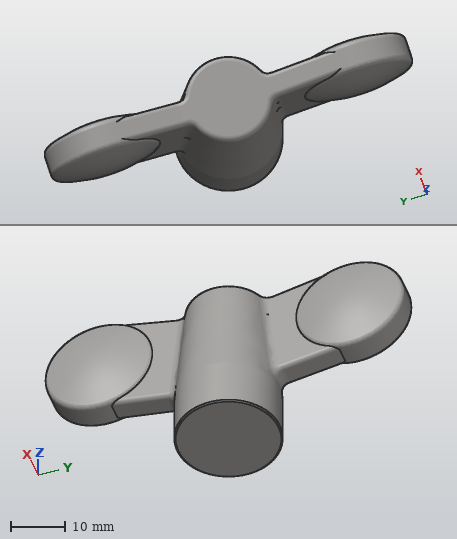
import cadquery as cq
import math

hub_radius = 10.0
hub_top_radius = 8.0
foot_height = 10.0
hub_height = 32.5
foot_chamfer = 0.3

overall_length = 70.0
overall_height = 35.5
disc_radius = 10.6
disc_centre_y = overall_length / 2 - disc_radius
disc_centre_z = overall_height - disc_radius
disc_half_thickness = 4.5
rim_half_thickness = 2.5
rim_round = 1.0

arm_thickness = 4.75
arm_top_slope = math.radians(12.0)
arm_bottom_slope = math.radians(9.3)
arm_root_y = 9.25
arm_root_bottom_z = 12.45
arm_inner_y = 3.5

edge_round = 1.0
root_blend = 1.8
margin = 0.15

arm_tip_y = disc_centre_y - disc_radius * math.sin(arm_top_slope)
arm_tip_z = hub_height + (arm_tip_y - arm_root_y) * math.tan(arm_top_slope)


def edge_box(min_corner, max_corner):
    """Pick the edges lying completely inside a box."""
    return cq.selectors.BoxSelector(min_corner, max_corner, boundingbox=True)


def make_hub():
    return (
        cq.Workplane("XZ")
        .lineTo(hub_radius - foot_chamfer, 0)
        .lineTo(hub_radius, foot_chamfer)
        .lineTo(hub_radius, foot_height)
        .lineTo(hub_top_radius, hub_height)
        .lineTo(0, hub_height)
        .close()
        .revolve(360, (0, 0), (0, 1))
    )


def make_arm():
    """Web on the +Y side with rounded lower edges, from inside the hub to the disc centre."""
    def bottom_z(y):
        return arm_root_bottom_z + (y - arm_root_y) * math.tan(arm_bottom_slope)

    half_width = arm_thickness / 2 + margin
    lower_edges = edge_box(
        (-half_width, arm_inner_y - margin, 0),
        (half_width, disc_centre_y + margin, bottom_z(disc_centre_y) + margin),
    )
    return (
        cq.Workplane("YZ")
        .moveTo(arm_inner_y, bottom_z(arm_inner_y))
        .lineTo(disc_centre_y, bottom_z(disc_centre_y))
        .lineTo(disc_centre_y, disc_centre_z)
        .lineTo(arm_tip_y, arm_tip_z)
        .lineTo(arm_root_y, hub_height)
        .lineTo(arm_inner_y, hub_height)
        .close()
        .extrude(arm_thickness / 2, both=True)
        .edges(lower_edges)
        .edges("#X")
        .fillet(edge_round)
    )


def make_disc():
    """Double-domed disc on the +Y side, its axis parallel to X."""
    rise = disc_half_thickness - rim_half_thickness
    dome_radius = (disc_radius**2 + rise**2) / (2 * rise)
    mid_radius = disc_radius / 2
    mid_x = disc_half_thickness - dome_radius + math.sqrt(dome_radius**2 - mid_radius**2)
    disc = (
        cq.Workplane("XY")
        .moveTo(-disc_half_thickness, 0)
        .threePointArc((-mid_x, mid_radius), (-rim_half_thickness, disc_radius))
        .lineTo(rim_half_thickness, disc_radius)
        .threePointArc((mid_x, mid_radius), (disc_half_thickness, 0))
        .close()
        .revolve(360, (0, 0), (1, 0))
        .faces("%CYLINDER")
        .edges("%CIRCLE")
        .fillet(rim_round)
    )
    return disc.translate((0, disc_centre_y, disc_centre_z))


def blend_arm_roots(body):
    """Round the inside corner where each arm meets the tapered hub."""
    half_width = arm_thickness / 2 + margin
    inner_y = hub_top_radius - edge_round
    outer_y = hub_radius
    low_z = foot_height + margin
    high_z = hub_height + margin
    back_root = edge_box((-half_width, inner_y, low_z), (half_width, outer_y, high_z))
    front_root = edge_box((-half_width, -outer_y, low_z), (half_width, -inner_y, high_z))
    return body.edges(back_root + front_root).edges("not %LINE").fillet(root_blend)


def round_top_outline(body):
    """Round the continuous outline running around the hub top and along both arms."""
    reach_y = arm_tip_y + margin
    outline = edge_box(
        (-hub_radius, -reach_y, hub_height - margin),
        (hub_radius, reach_y, arm_tip_z + margin),
    )
    return body.edges(outline).edges("not |X").fillet(edge_round)


arm = make_arm()
disc = make_disc()
body = make_hub().union(arm).union(arm.mirror("XZ"))
body = round_top_outline(blend_arm_roots(body))
result = body.union(disc).union(disc.mirror("XZ"))